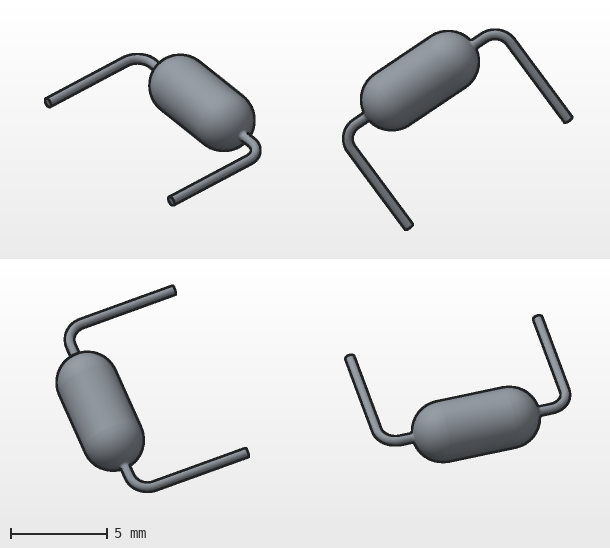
import cadquery as cq
import math

overall_span = 10.67
body_diameter = 3.22
barrel_length = 3.6
wire_diameter = 0.51
bend_radius = 1.0
lead_tip_y = -6.21
neck_fillet = 0.17

body_radius = body_diameter / 2
wire_radius = wire_diameter / 2
barrel_end = barrel_length / 2
lead_x = (overall_span - wire_diameter) / 2
bend_start_x = lead_x - bend_radius


def make_barrel():
    """Straight middle cylinder of the body."""
    return cq.Workplane("YZ", origin=(-barrel_end, 0, 0)).circle(body_radius).extrude(barrel_length)


def make_dome():
    """Hemisphere at the +X end with a concave fillet flaring into the lead."""
    fillet_y = wire_radius + neck_fillet
    center_distance = body_radius + neck_fillet
    neck_offset = math.sqrt(center_distance**2 - fillet_y**2)
    neck_x = barrel_end + neck_offset

    dome_angle = math.atan2(fillet_y, neck_offset)
    dome_contact = (
        barrel_end + body_radius * math.cos(dome_angle),
        body_radius * math.sin(dome_angle),
    )
    dome_mid_angle = (dome_angle + math.pi / 2) / 2
    dome_mid = (
        barrel_end + body_radius * math.cos(dome_mid_angle),
        body_radius * math.sin(dome_mid_angle),
    )
    fillet_mid_angle = (dome_angle + math.pi + 1.5 * math.pi) / 2
    fillet_mid = (
        neck_x + neck_fillet * math.cos(fillet_mid_angle),
        fillet_y + neck_fillet * math.sin(fillet_mid_angle),
    )
    return (
        cq.Workplane("XY")
        .moveTo(barrel_end, 0)
        .lineTo(neck_x, 0)
        .lineTo(neck_x, wire_radius)
        .threePointArc(fillet_mid, dome_contact)
        .threePointArc(dome_mid, (barrel_end, body_radius))
        .close()
        .revolve(360, (0, 0, 0), (1, 0, 0))
    )


def make_lead():
    """Round wire from inside the +X dome, around the bend to its tip."""
    bend_mid = (
        bend_start_x + bend_radius * math.sin(math.pi / 4),
        -bend_radius + bend_radius * math.cos(math.pi / 4),
    )
    path = (
        cq.Workplane("XY")
        .moveTo(barrel_end, 0)
        .lineTo(bend_start_x, 0)
        .threePointArc(bend_mid, (lead_x, -bend_radius))
        .lineTo(lead_x, lead_tip_y)
    )
    return cq.Workplane("YZ", origin=(barrel_end, 0, 0)).circle(wire_radius).sweep(path)


end = make_dome().union(make_lead())
result = make_barrel().union(end).union(end.mirror("YZ"))